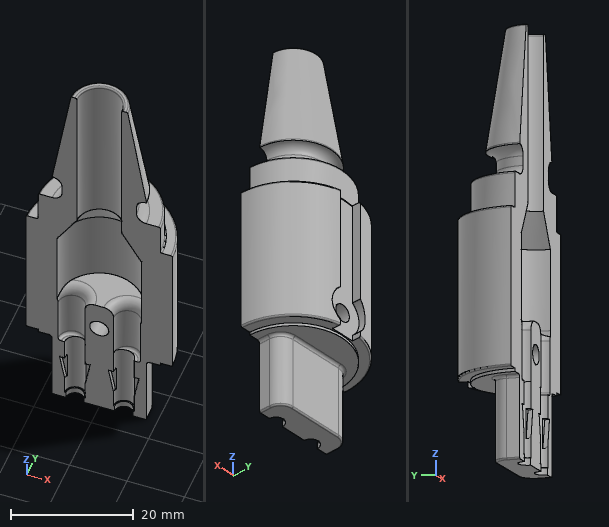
import cadquery as cq

TOTAL_HEIGHT = 72.97
EDGE_ROUND = 0.3

BODY_RADIUS = 12.77
BODY_BOTTOM = 14.6
BODY_TOP = 41.3
SHOULDER_RADIUS = 10.65
SHOULDER_TOP = 47.4
BOSS_BOTTOM = 14.05

NECK_RADIUS = 6.5
GROOVE_ROUND = 1.7
GROOVE_HEIGHT = 5.0
CONE_BASE_RADIUS = NECK_RADIUS + GROOVE_ROUND
CONE_LIP = 0.25
TIP_RADIUS = 4.95
TIP_ROUND = 0.3

STEM_HALF_WIDTH = 8.25
STEM_HALF_DEPTH = 4.95
STEM_CORNER = 2.72
STEM_ROOT_ROUND = 0.55

TIP_BORE_RADIUS = 3.9
CHAMBER_RADIUS = 7.35
CHAMBER_FLOOR = 24.3
CHAMBER_TOP = 37.8
FUNNEL_TOP = 43.5

WELL_X = 4.83
WELL_RADIUS = 2.33
WELL_BOTTOM = 13.4
WELL_BOTTOM_ROUND = 0.55
WELL_MOUTH_ROUND = 1.75

CONTACT_X = 4.25
CONTACT_RADIUS = 1.8
OUTLET_RADIUS = 1.57
OUTLET_HEIGHT = 1.25
LATCH_BOTTOM = 4.5
LATCH_TOP = 9.45
LATCH_BOTTOM_REACH = 1.75
LATCH_TOP_REACH = 2.65
LATCH_THICKNESS = 1.65

CROSS_HOLE_HEIGHT = 18.9
CROSS_HOLE_DIAMETER = 3.3
RECESS_DIAMETER = 8.0
KEYWAY_WIDTH = 4.8
KEYWAY_FLOOR = 10.8


def revolve_about_z(profile):
    """Turn a closed (radius, height) profile drawn on XZ about the Z axis."""
    return profile.close().revolve(360, (0, 0, 0), (0, 1, 0))


def cylinder(radius, bottom, top, x=0.0):
    return cq.Workplane("XY", origin=(x, 0, bottom)).circle(radius).extrude(top - bottom)


def make_body():
    body = cylinder(BODY_RADIUS, BODY_BOTTOM, BODY_TOP).edges().fillet(EDGE_ROUND)
    shoulder = cylinder(SHOULDER_RADIUS, BOSS_BOTTOM, SHOULDER_TOP)
    shoulder = shoulder.faces(">Z").edges().fillet(EDGE_ROUND)
    root_radius = SHOULDER_RADIUS + EDGE_ROUND
    root = revolve_about_z(
        cq.Workplane("XZ")
        .moveTo(0, BODY_TOP - EDGE_ROUND)
        .lineTo(root_radius, BODY_TOP - EDGE_ROUND)
        .lineTo(root_radius, BODY_TOP)
        .radiusArc((SHOULDER_RADIUS, BODY_TOP + EDGE_ROUND), EDGE_ROUND)
        .lineTo(0, BODY_TOP + EDGE_ROUND)
    )
    return body.union(shoulder).union(root)


def make_nozzle():
    groove_top = SHOULDER_TOP + GROOVE_HEIGHT
    nozzle = revolve_about_z(
        cq.Workplane("XZ")
        .moveTo(0, SHOULDER_TOP - EDGE_ROUND)
        .lineTo(CONE_BASE_RADIUS, SHOULDER_TOP - EDGE_ROUND)
        .lineTo(CONE_BASE_RADIUS, SHOULDER_TOP)
        .radiusArc((NECK_RADIUS, SHOULDER_TOP + GROOVE_ROUND), GROOVE_ROUND)
        .lineTo(NECK_RADIUS, groove_top - GROOVE_ROUND)
        .radiusArc((CONE_BASE_RADIUS, groove_top), GROOVE_ROUND)
        .lineTo(CONE_BASE_RADIUS, groove_top + CONE_LIP)
        .lineTo(TIP_RADIUS, TOTAL_HEIGHT)
        .lineTo(0, TOTAL_HEIGHT)
    )
    return nozzle.faces(">Z").edges().fillet(TIP_ROUND)


def make_stem():
    stem = (
        cq.Workplane("XY")
        .rect(2 * STEM_HALF_WIDTH, 2 * STEM_HALF_DEPTH)
        .extrude(BODY_BOTTOM)
        .edges("|Z")
        .fillet(STEM_CORNER)
    )
    return stem.faces("<Z").edges().fillet(EDGE_ROUND)


def round_stem_root(solid):
    """Fillet the inside corner where the stem meets the boss."""
    around_root = cq.selectors.BoxSelector(
        (-STEM_HALF_WIDTH - EDGE_ROUND, -STEM_HALF_DEPTH - EDGE_ROUND, BOSS_BOTTOM - EDGE_ROUND),
        (STEM_HALF_WIDTH + EDGE_ROUND, STEM_HALF_DEPTH + EDGE_ROUND, BOSS_BOTTOM + EDGE_ROUND),
        boundingbox=True,
    )
    return solid.edges(around_root).fillet(STEM_ROOT_ROUND)


def make_cavity():
    return revolve_about_z(
        cq.Workplane("XZ")
        .moveTo(0, CHAMBER_FLOOR)
        .lineTo(CHAMBER_RADIUS, CHAMBER_FLOOR)
        .lineTo(CHAMBER_RADIUS, CHAMBER_TOP)
        .lineTo(TIP_BORE_RADIUS, FUNNEL_TOP)
        .lineTo(TIP_BORE_RADIUS, TOTAL_HEIGHT - TIP_ROUND)
        .radiusArc((TIP_BORE_RADIUS + TIP_ROUND, TOTAL_HEIGHT), TIP_ROUND)
        .lineTo(0, TOTAL_HEIGHT)
    )


def make_well(side):
    """Round-bottomed well whose flared mouth stays inside the chamber wall."""
    x = side * WELL_X
    well = cylinder(WELL_RADIUS, WELL_BOTTOM, CHAMBER_FLOOR, x)
    well = well.faces("<Z").edges().fillet(WELL_BOTTOM_ROUND)
    mouth_bottom = CHAMBER_FLOOR - WELL_MOUTH_ROUND
    mouth = revolve_about_z(
        cq.Workplane("XZ")
        .moveTo(0, mouth_bottom)
        .lineTo(WELL_RADIUS, mouth_bottom)
        .radiusArc((WELL_RADIUS + WELL_MOUTH_ROUND, CHAMBER_FLOOR), WELL_MOUTH_ROUND)
        .lineTo(0, CHAMBER_FLOOR)
    ).translate((x, 0, 0))
    mouth = mouth.intersect(cylinder(CHAMBER_RADIUS, mouth_bottom, CHAMBER_FLOOR))
    return well.union(mouth)


def make_contact_hole(side):
    x = side * CONTACT_X
    outlet = cylinder(OUTLET_RADIUS, 0, OUTLET_HEIGHT, x)
    hole = cylinder(CONTACT_RADIUS, OUTLET_HEIGHT, WELL_BOTTOM + WELL_BOTTOM_ROUND, x)
    latch = (
        cq.Workplane("XZ", origin=(x, 0, 0))
        .moveTo(-LATCH_BOTTOM_REACH, LATCH_BOTTOM)
        .lineTo(LATCH_BOTTOM_REACH, LATCH_BOTTOM)
        .lineTo(LATCH_TOP_REACH, LATCH_TOP)
        .lineTo(-LATCH_TOP_REACH, LATCH_TOP)
        .close()
        .extrude(LATCH_THICKNESS / 2, both=True)
    )
    return hole.union(outlet).union(latch)


def make_back_cuts():
    """Cross hole along Y, plus the keyway and recess cut to one common floor."""
    cut_depth = BODY_RADIUS - KEYWAY_FLOOR
    along_y = cq.Workplane("XZ", origin=(0, BODY_RADIUS, 0))
    cross_hole = (
        along_y.center(0, CROSS_HOLE_HEIGHT).circle(CROSS_HOLE_DIAMETER / 2).extrude(BODY_RADIUS)
    )
    recess = along_y.center(0, CROSS_HOLE_HEIGHT).circle(RECESS_DIAMETER / 2).extrude(cut_depth)
    keyway = (
        along_y.center(0, (BODY_BOTTOM + BODY_TOP) / 2)
        .rect(KEYWAY_WIDTH, BODY_TOP - BODY_BOTTOM)
        .extrude(cut_depth)
    )
    return cross_hole.union(recess).union(keyway)


def make_back_half():
    """Block that keeps only the half of the part with Y above zero."""
    return cq.Workplane("XY").box(
        2 * BODY_RADIUS, BODY_RADIUS, TOTAL_HEIGHT, centered=(True, False, False)
    )


part = make_body().union(make_nozzle()).union(make_stem())
part = round_stem_root(part)
part = part.cut(make_cavity())
for side in (-1, 1):
    part = part.cut(make_well(side)).cut(make_contact_hole(side))
part = part.cut(make_back_cuts())
result = part.intersect(make_back_half())